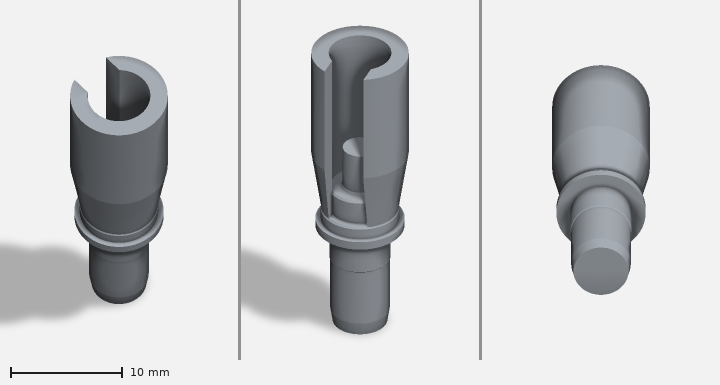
import cadquery as cq

total_height = 28.65
sleeve_radius = 8.75 / 2
flange_radius = 3.997
collar_radius = 3.52
neck_radius = 3.47
shank_radius = 2.75
bore_radius = 2.8
stem_radius = 2.66
tip_radius = 2.45
pin_radius = 1.55

tip_taper_top = 1.3
shank_bottom = 6.88
flange_bottom = 10.15
flange_top = 10.95
collar_top = 12.15
plug_top = 14.47
cone_top = 18.05
pin_top = 18.55

edge_chamfer = 0.17
shank_step = shank_radius - stem_radius
slot_width = 3.72


def revolve_profile(points):
    """Revolve a closed outline of (radius, height) points about Z."""
    return cq.Workplane("XZ").polyline(points).close().revolve(360, (0, 0), (0, 1))


def make_base():
    """Tapered stem, shank, flange and chamfered collar."""
    return revolve_profile([
        (0, 0),
        (tip_radius, 0),
        (stem_radius, tip_taper_top),
        (stem_radius, shank_bottom - shank_step),
        (shank_radius, shank_bottom),
        (shank_radius, flange_bottom),
        (flange_radius, flange_bottom),
        (flange_radius, flange_top),
        (collar_radius, flange_top),
        (collar_radius, collar_top - edge_chamfer),
        (collar_radius - edge_chamfer, collar_top),
        (0, collar_top),
    ])


def make_sleeve():
    """Bored sleeve on a conical base, slotted lengthwise through its -X wall."""
    sleeve = revolve_profile([
        (bore_radius, collar_top),
        (neck_radius, collar_top),
        (sleeve_radius, cone_top),
        (sleeve_radius, total_height),
        (bore_radius, total_height),
    ])
    slot = cq.Workplane("XY").box(
        sleeve_radius, slot_width, total_height - collar_top, centered=(False, True, False)
    ).translate((-sleeve_radius, 0, collar_top))
    return sleeve.cut(slot)


def make_plug_and_pin():
    """Chamfered plug filling the bottom of the bore, with a pin flared at its root."""
    return revolve_profile([
        (0, collar_top),
        (bore_radius, collar_top),
        (bore_radius, plug_top - edge_chamfer),
        (bore_radius - edge_chamfer, plug_top),
        (pin_radius + edge_chamfer, plug_top),
        (pin_radius, plug_top + edge_chamfer),
        (pin_radius, pin_top),
        (0, pin_top),
    ])


result = make_base().union(make_sleeve()).union(make_plug_and_pin())